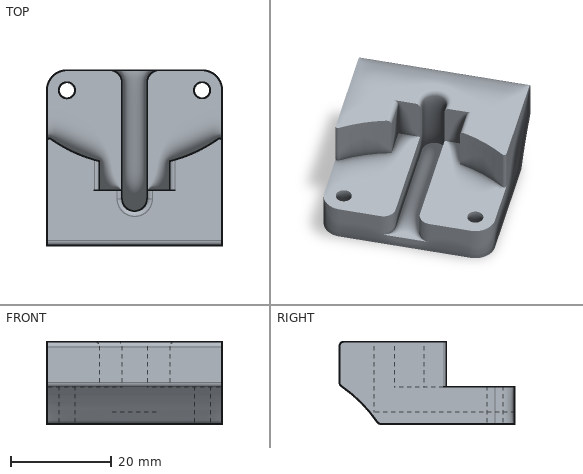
import cadquery as cq
import math

width = 35.0
depth = 35.0
height = 16.5
plate_height = 7.5
half_width = width / 2
edge_radius = 1.0

corner_radius = 4.02
hole_diameter = 3.2

wall_radius = 28.98
wall_center_y = 44.95
tip_radius = 0.5

pocket_half_width = 7.0
pocket_front_y = 11.0

slot_width = 5.0
slot_half_width = slot_width / 2
slot_end_y = 9.38
slot_floor_z = 2.5
slot_mouth_radius = 2.5

relief_size = 7.85
relief_radius = 28.0

selection_margin = 0.35


def make_body():
    """Side profile with the concave front relief, extruded across the width."""
    half_chord = relief_size / math.sqrt(2)
    sag = relief_radius - math.sqrt(relief_radius**2 - half_chord**2)
    relief_mid = relief_size / 2 + sag / math.sqrt(2)
    body = (
        cq.Workplane("YZ", origin=(-half_width, 0, 0))
        .moveTo(relief_size, 0)
        .lineTo(depth, 0)
        .lineTo(depth, height)
        .lineTo(0, height)
        .lineTo(0, relief_size)
        .threePointArc((relief_mid, relief_mid), (relief_size, 0))
        .close()
        .extrude(width)
    )
    body = body.edges("|X and <Y").fillet(edge_radius)
    return body.edges("|X and <Z and (not >Y)").fillet(edge_radius)


def cut_rear_step(body):
    """Lower the rear to plate height, leaving a cylindrical wall with rounded tips."""
    wall_end_y = wall_center_y - math.sqrt(wall_radius**2 - half_width**2)
    step = (
        cq.Workplane("XY", origin=(0, 0, plate_height))
        .moveTo(-half_width, wall_end_y)
        .threePointArc((0, wall_center_y - wall_radius), (half_width, wall_end_y))
        .lineTo(half_width, depth)
        .lineTo(-half_width, depth)
        .close()
        .extrude(height - plate_height)
    )
    body = body.cut(step)
    for x in (-half_width, half_width):
        tip = cq.selectors.NearestToPointSelector((x, wall_end_y, (plate_height + height) / 2))
        body = body.edges(tip).fillet(tip_radius)
    return body


def finish_plate(body):
    """Round the rear corners and drill a hole concentric with each."""
    body = body.edges("|Z and >Y").fillet(corner_radius)
    hole_x = half_width - corner_radius
    holes = (
        cq.Workplane("XY")
        .pushPoints([(-hole_x, depth - corner_radius), (hole_x, depth - corner_radius)])
        .circle(hole_diameter / 2)
        .extrude(plate_height)
    )
    return body.cut(holes)


def make_pocket():
    """Rectangular pocket whose side walls flare out in a rounded top edge."""
    outer = pocket_half_width + edge_radius
    shoulder_z = height - edge_radius
    arc_inset = edge_radius * (1 - math.sqrt(0.5))
    return (
        cq.Workplane("XZ", origin=(0, pocket_front_y, 0))
        .moveTo(-pocket_half_width, plate_height)
        .lineTo(pocket_half_width, plate_height)
        .lineTo(pocket_half_width, shoulder_z)
        .threePointArc((pocket_half_width + arc_inset, height - arc_inset), (outer, height))
        .lineTo(-outer, height)
        .threePointArc(
            (-pocket_half_width - arc_inset, height - arc_inset), (-pocket_half_width, shoulder_z)
        )
        .close()
        .extrude(pocket_front_y - depth)
    )


def make_slot():
    """Blind slot with a round front end and a rounded rear mouth."""
    mouth_half_width = slot_half_width + slot_mouth_radius
    mouth_y = depth - slot_mouth_radius
    inset = slot_mouth_radius * (1 - math.sqrt(0.5))
    return (
        cq.Workplane("XY", origin=(0, 0, slot_floor_z))
        .moveTo(-slot_half_width, slot_end_y)
        .threePointArc((0, slot_end_y - slot_half_width), (slot_half_width, slot_end_y))
        .lineTo(slot_half_width, mouth_y)
        .threePointArc((slot_half_width + inset, depth - inset), (mouth_half_width, depth))
        .lineTo(-mouth_half_width, depth)
        .threePointArc((-slot_half_width - inset, depth - inset), (-slot_half_width, mouth_y))
        .close()
        .extrude(height - slot_floor_z)
    )


def round_slot_rim(body):
    """Round the top edge of the slot's front end, ahead of the pocket."""
    rim_half_width = slot_half_width + selection_margin
    rim = cq.selectors.BoxSelector(
        (-rim_half_width, slot_end_y - rim_half_width, height - selection_margin),
        (rim_half_width, pocket_front_y - selection_margin, height + selection_margin),
    )
    return body.edges(rim).fillet(edge_radius)


body = finish_plate(cut_rear_step(make_body()))
body = body.cut(make_slot()).cut(make_pocket())
result = round_slot_rim(body)